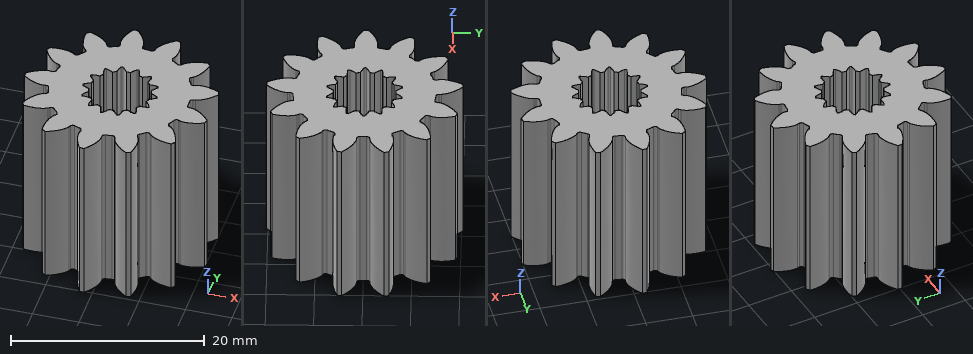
import cadquery as cq
import math

FACE_WIDTH = 19.05
TOOTH_COUNT = 13
OVERALL_SPAN = 20.35
TIP_HALF_ANGLE = math.radians(1.4)
ROOT_RADIUS = 7.41
BASE_RADIUS = 7.95
ROOT_FILLET = 0.3
FLANK_STEPS = 6

QUARTER_PITCH = math.pi / (2 * TOOTH_COUNT)
TIP_RADIUS = OVERALL_SPAN / 2 / math.cos(QUARTER_PITCH - TIP_HALF_ANGLE)

NOTCH_COUNT = 14
BORE_RADIUS = 3.24
NOTCH_RADIUS = 4.0
NOTCH_MOUTH_HALF_WIDTH = 0.49
NOTCH_MID_RADIUS = 3.58
NOTCH_MID_HALF_WIDTH = 0.33
NOTCH_END_RADIUS = 3.9
NOTCH_END_HALF_WIDTH = 0.12


def polar(radius, angle):
    return radius * math.cos(angle), radius * math.sin(angle)


def involute_angle(radius):
    """Angle swept by the involute from the base circle out to a radius."""
    pressure_angle = math.acos(BASE_RADIUS / radius)
    return math.tan(pressure_angle) - pressure_angle


BASE_HALF_ANGLE = TIP_HALF_ANGLE + involute_angle(TIP_RADIUS)


def flank_points(side):
    """Involute points from base to tip; side is -1 or +1."""
    step = (TIP_RADIUS - BASE_RADIUS) / FLANK_STEPS
    radii = [BASE_RADIUS + i * step for i in range(FLANK_STEPS + 1)]
    return [polar(r, side * (BASE_HALF_ANGLE - involute_angle(r))) for r in radii]


def make_tooth():
    """One tooth on +X, with radial flanks below the base circle."""
    lower = flank_points(-1)
    upper = flank_points(1)
    upper.reverse()
    inner_radius = ROOT_RADIUS / 2
    return (
        cq.Workplane("XY")
        .moveTo(*polar(inner_radius, -BASE_HALF_ANGLE))
        .lineTo(*lower[0])
        .spline(lower[1:], includeCurrent=True)
        .threePointArc((TIP_RADIUS, 0), upper[0])
        .spline(upper[1:], includeCurrent=True)
        .lineTo(*polar(inner_radius, BASE_HALF_ANGLE))
        .close()
        .extrude(FACE_WIDTH)
    )


def make_gear():
    """Root cylinder with the teeth, one of them pointing along -X."""
    gear = cq.Workplane("XY").circle(ROOT_RADIUS).extrude(FACE_WIDTH)
    tooth = make_tooth()
    for i in range(TOOTH_COUNT):
        gear = gear.union(tooth.rotate((0, 0, 0), (0, 0, 1), 180 + i * 360 / TOOTH_COUNT))
    root_edges = [
        edge
        for edge in gear.edges("|Z").vals()
        if math.hypot(edge.Center().x, edge.Center().y) < (ROOT_RADIUS + BASE_RADIUS) / 2
    ]
    return gear.newObject(root_edges).fillet(ROOT_FILLET)


def make_bore():
    """Bore cylinder with pointed notches, one of them on +X."""
    bore = cq.Workplane("XY").circle(BORE_RADIUS).extrude(FACE_WIDTH)
    mouth_x = math.sqrt(BORE_RADIUS**2 - NOTCH_MOUTH_HALF_WIDTH**2)
    notch = (
        cq.Workplane("XY")
        .moveTo(0, 0)
        .lineTo(mouth_x, -NOTCH_MOUTH_HALF_WIDTH)
        .threePointArc(
            (NOTCH_MID_RADIUS, -NOTCH_MID_HALF_WIDTH),
            (NOTCH_END_RADIUS, -NOTCH_END_HALF_WIDTH),
        )
        .threePointArc((NOTCH_RADIUS, 0), (NOTCH_END_RADIUS, NOTCH_END_HALF_WIDTH))
        .threePointArc(
            (NOTCH_MID_RADIUS, NOTCH_MID_HALF_WIDTH),
            (mouth_x, NOTCH_MOUTH_HALF_WIDTH),
        )
        .close()
        .extrude(FACE_WIDTH)
    )
    for i in range(NOTCH_COUNT):
        bore = bore.union(notch.rotate((0, 0, 0), (0, 0, 1), i * 360 / NOTCH_COUNT))
    return bore


result = make_gear().cut(make_bore())